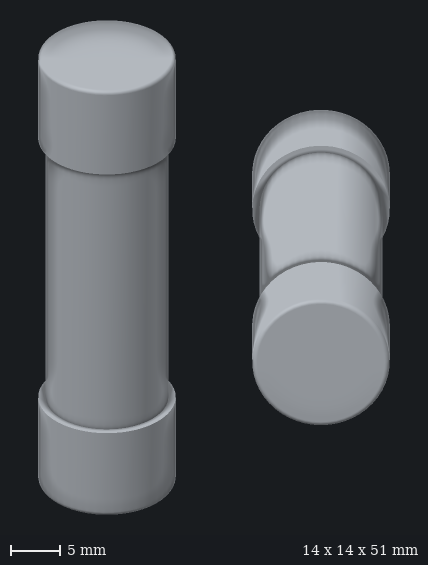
import cadquery as cq

total_length = 51.0
cap_diameter = 14.0
cap_length = 10.0
cap_edge_radius = 0.5
body_diameter = 12.5


def end_cap(base_z, outer_edge):
    """Contact cap with its outer end edge rounded."""
    cap = cq.Workplane("XY").workplane(offset=base_z).circle(cap_diameter / 2).extrude(cap_length)
    return cap.faces(outer_edge).edges().fillet(cap_edge_radius)


def body():
    """Tube joining the caps, embedded half a cap length in each."""
    bottom_z = -total_length / 2 + cap_length / 2
    length = total_length - cap_length
    return cq.Workplane("XY").workplane(offset=bottom_z).circle(body_diameter / 2).extrude(length)


bottom_cap = end_cap(-total_length / 2, "<Z")
top_cap = end_cap(total_length / 2 - cap_length, ">Z")

result = body().union(bottom_cap).union(top_cap)